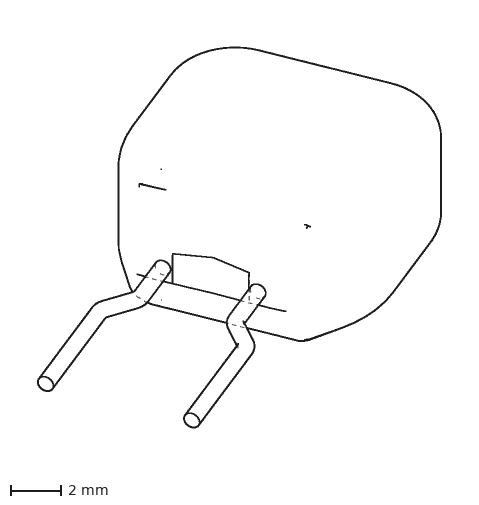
import cadquery as cq
import math


OVERALL_LENGTH = 21.3

BODY_WIDTH = 11.67
BODY_LENGTH = 12.08
BODY_THICKNESS = 6.37
FACE_WIDTH = 6.6
FLANK_HEIGHT = 3.75
BACK_CORNER_RADIUS = 2.98
FLANK_RADIUS = 5.0
FRONT_CORNER_RADIUS = 1.45
EDGE_RADIUS = 1.38

LIP_HALF_HEIGHT = 0.68
LIP_SLOPE = 0.6
HOLLOW_CURVE = [(0.62, 1.15), (0.92, 1.68), (1.1, 2.43), (1.36, 2.9)]
HOLLOW_END_Y = 2.09
RIM_RADIUS = 0.21

NOTCH_WIDTH = 3.32
NOTCH_DEPTH = 0.3
NOTCH_STEP = 0.09

LEAD_DIAMETER = 0.68
LEAD_LENGTH = OVERALL_LENGTH - BODY_LENGTH
EXIT_X = 2.07
TIP_X = 3.17
BEND_START = 2.17
BEND_RADIUS = 0.51
BEND_ANGLE = math.radians(40)


def make_block():
    """Rounded block with parallel sides at the back and tapered flanks at the front."""
    side_x = BODY_WIDTH / 2
    face_x = FACE_WIDTH / 2
    outline = [
        (-face_x, 0),
        (face_x, 0),
        (side_x, FLANK_HEIGHT),
        (side_x, BODY_LENGTH),
        (-side_x, BODY_LENGTH),
        (-side_x, FLANK_HEIGHT),
    ]
    block = cq.Workplane("XY").polyline(outline).close().extrude(BODY_THICKNESS / 2, both=True)
    corners = [
        (face_x, 0, FRONT_CORNER_RADIUS),
        (side_x, FLANK_HEIGHT, FLANK_RADIUS),
        (side_x, BODY_LENGTH, BACK_CORNER_RADIUS),
    ]
    for corner_x, corner_y, radius in corners:
        for side in (-1, 1):
            corner = cq.selectors.NearestToPointSelector((side * corner_x, corner_y, 0))
            block = block.edges("|Z").edges(corner).fillet(radius)
    return block.faces("<Z or >Z").edges().fillet(EDGE_RADIUS)


def make_hollow():
    """Upper cutter, a prism along X whose profile sweeps from the lip to the broad face."""
    clear = BODY_THICKNESS
    lip = (0, LIP_HALF_HEIGHT)
    crest = (HOLLOW_END_Y, BODY_THICKNESS / 2)
    profile = (
        cq.Workplane("YZ", origin=(-BODY_WIDTH / 2, 0, 0))
        .moveTo(*lip)
        .spline([*HOLLOW_CURVE, crest], tangents=[(1, LIP_SLOPE), (1, 0)], includeCurrent=True)
        .lineTo(HOLLOW_END_Y, clear)
        .lineTo(-clear, clear)
        .lineTo(-clear, LIP_HALF_HEIGHT)
        .close()
    )
    return profile.extrude(BODY_WIDTH)


def make_notch():
    """V cutter through the lip, deepest midway between the leads."""
    half = NOTCH_WIDTH / 2
    outline = [(-half, 0), (-half, NOTCH_STEP), (0, NOTCH_DEPTH), (half, NOTCH_STEP), (half, 0)]
    return cq.Workplane("XY").polyline(outline).close().extrude(BODY_THICKNESS, both=True)


def make_body():
    """Block hollowed above and below the leads, notched, with a softened rim."""
    hollow = make_hollow()
    body = make_block().cut(hollow).cut(hollow.mirror("XY"))
    body = body.cut(make_notch())
    return body.edges("|X").edges("<Y").fillet(RIM_RADIUS)


def make_lead(side):
    """Wire with an outward jog; side is -1 or 1 along X."""
    sine, cosine = math.sin(BEND_ANGLE), math.cos(BEND_ANGLE)
    bend_shift = BEND_RADIUS * (1 - cosine)
    bend_drop = BEND_RADIUS * sine
    slant_shift = TIP_X - EXIT_X - 2 * bend_shift
    slant_drop = slant_shift * cosine / sine

    slant_start = (side * (EXIT_X + bend_shift), -BEND_START - bend_drop)
    slant_end = (side * (TIP_X - bend_shift), slant_start[1] - slant_drop)
    tip_start = (side * TIP_X, slant_end[1] - bend_drop)
    path = (
        cq.Workplane("XY")
        .moveTo(side * EXIT_X, 0)
        .lineTo(side * EXIT_X, -BEND_START)
        .tangentArcPoint(slant_start, relative=False)
        .lineTo(*slant_end)
        .tangentArcPoint(tip_start, relative=False)
        .lineTo(side * TIP_X, -LEAD_LENGTH)
    )
    section = cq.Workplane("XZ", origin=(side * EXIT_X, 0, 0)).circle(LEAD_DIAMETER / 2)
    return section.sweep(path)


body = make_body()
leads = [make_lead(side) for side in (-1, 1)]

result = cq.Compound.makeCompound([body.val(), *[lead.val() for lead in leads]])